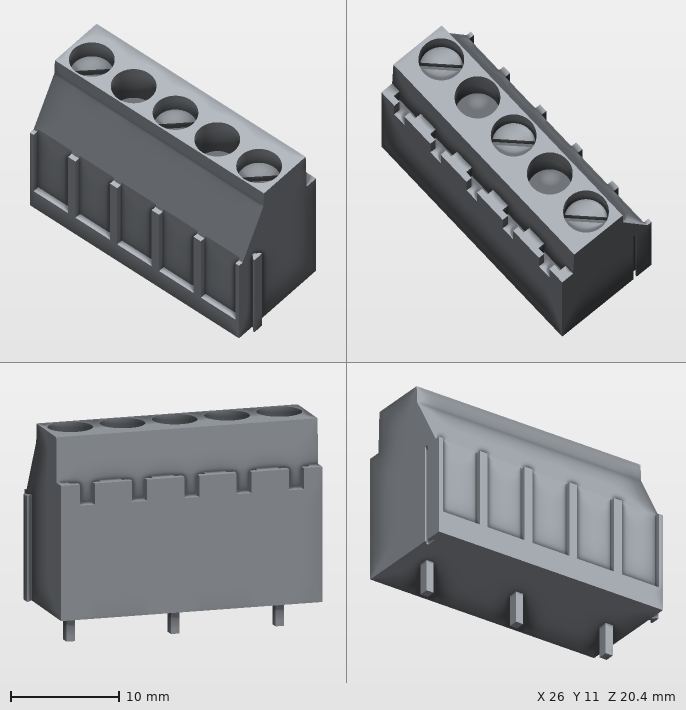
import cadquery as cq


MODULE_POLES = [3, 2]
POLE_COUNT = sum(MODULE_POLES)
OVERALL_LENGTH = 26.0
HOUSING_LENGTH = 25.4
PITCH = HOUSING_LENGTH / POLE_COUNT
FITTED_POLES = range(0, POLE_COUNT, 2)

DEPTH = 11.0
HEIGHT = 17.15
FRONT_LEDGE_Y = 0.52
FRONT_LEDGE_Z = 10.12
BROW_Y = 3.49
BROW_Z = 15.4
TOP_FRONT_Y = 3.56
TOP_BACK_Y = 9.52
BACK_LEDGE_Y = 9.68
BACK_LEDGE_Z = 12.85

POCKET_WIDTH = 4.2
POCKET_DEPTH = 0.65
POCKET_FLOOR_Z = 2.3

MARKER_WIDE = 3.0
MARKER_NARROW = 1.45
MARKER_SHOULDER_Y = 10.38
MARKER_DEPTH = 2.0

DOVETAIL_Y = 2.03
DOVETAIL_HEIGHT = 10.05
DOVETAIL_LENGTH = OVERALL_LENGTH - HOUSING_LENGTH
DOVETAIL_NECK_LENGTH = 0.15
DOVETAIL_FLARE_END = 0.4
DOVETAIL_NECK_WIDTH = 0.36
DOVETAIL_HEAD_WIDTH = 1.05

WELL_Y = 5.85
WELL_DIAMETER = 4.25
WELL_DEPTH = 4.0
SCREW_DIAMETER = 4.0
SCREW_RECESS = 1.8
SCREW_HEIGHT = WELL_DEPTH - SCREW_RECESS
SCREW_SLOT_WIDTH = 0.6
SCREW_SLOT_DEPTH = 0.73
SCREW_SLOT_ANGLE = 45

PIN_Y = 5.5
PIN_WIDTH = 0.8
PIN_DEPTH = 1.0
PIN_LENGTH = 3.23


def pole_center(pole):
    return (pole + 0.5) * PITCH


def housing_blank(start_x, length):
    """Stepped and sloped cross-section extruded along X."""
    outline = [
        (0, 0),
        (DEPTH, 0),
        (DEPTH, BACK_LEDGE_Z),
        (BACK_LEDGE_Y, BACK_LEDGE_Z),
        (TOP_BACK_Y, HEIGHT),
        (TOP_FRONT_Y, HEIGHT),
        (BROW_Y, BROW_Z),
        (FRONT_LEDGE_Y, FRONT_LEDGE_Z),
        (0, FRONT_LEDGE_Z),
    ]
    return cq.Workplane("YZ", origin=(start_x, 0, 0)).polyline(outline).close().extrude(length)


def dovetail(start_x):
    """Flared tongue that grows in +X from start_x, from the underside up."""
    half_neck = DOVETAIL_NECK_WIDTH / 2
    half_head = DOVETAIL_HEAD_WIDTH / 2
    outline = [
        (0, -half_neck),
        (DOVETAIL_NECK_LENGTH, -half_neck),
        (DOVETAIL_FLARE_END, -half_head),
        (DOVETAIL_LENGTH, -half_head),
        (DOVETAIL_LENGTH, half_head),
        (DOVETAIL_FLARE_END, half_head),
        (DOVETAIL_NECK_LENGTH, half_neck),
        (0, half_neck),
    ]
    base = cq.Workplane("XY", origin=(start_x, DOVETAIL_Y, 0))
    return base.polyline(outline).close().extrude(DOVETAIL_HEIGHT)


def front_pocket(pole):
    """Shallow rectangular recess in the front wall, open into the slope above."""
    corner = (pole_center(pole) - POCKET_WIDTH / 2, 0, POCKET_FLOOR_Z)
    return cq.Workplane(origin=corner).box(
        POCKET_WIDTH, POCKET_DEPTH, HEIGHT - POCKET_FLOOR_Z, centered=False
    )


def marker_slot(pole):
    """Blind T-shaped slot, wide at the back wall and narrow at the rear face."""
    half_wide = MARKER_WIDE / 2
    half_narrow = MARKER_NARROW / 2
    outline = [
        (-half_wide, BACK_LEDGE_Y),
        (half_wide, BACK_LEDGE_Y),
        (half_wide, MARKER_SHOULDER_Y),
        (half_narrow, MARKER_SHOULDER_Y),
        (half_narrow, DEPTH),
        (-half_narrow, DEPTH),
        (-half_narrow, MARKER_SHOULDER_Y),
        (-half_wide, MARKER_SHOULDER_Y),
    ]
    base = cq.Workplane("XY", origin=(pole_center(pole), 0, BACK_LEDGE_Z))
    return base.polyline(outline).close().extrude(-MARKER_DEPTH)


def screw_well(pole):
    """Blind round well in the top face."""
    base = cq.Workplane("XY", origin=(pole_center(pole), WELL_Y, HEIGHT))
    return base.circle(WELL_DIAMETER / 2).extrude(-WELL_DEPTH)


def housing(first_pole, pole_count):
    """One housing module with a dovetail groove at -X and a tongue at +X."""
    start_x = first_pole * PITCH
    length = pole_count * PITCH
    body = housing_blank(start_x, length)
    body = body.cut(dovetail(start_x))
    body = body.union(dovetail(start_x + length))
    for pole in range(first_pole, first_pole + pole_count):
        body = body.cut(front_pocket(pole))
        body = body.cut(marker_slot(pole))
        body = body.cut(screw_well(pole))
    return body


def screw(pole):
    """Round screw head standing on the well floor, slotted across its top."""
    base = cq.Workplane("XY", origin=(pole_center(pole), WELL_Y, HEIGHT - WELL_DEPTH))
    head = base.circle(SCREW_DIAMETER / 2).extrude(SCREW_HEIGHT)
    slot = (
        cq.Workplane("XY", origin=(pole_center(pole), WELL_Y, HEIGHT - SCREW_RECESS))
        .transformed(rotate=(0, 0, SCREW_SLOT_ANGLE))
        .rect(SCREW_DIAMETER, SCREW_SLOT_WIDTH)
        .extrude(-SCREW_SLOT_DEPTH)
    )
    return head.cut(slot)


def pin(pole):
    """Rectangular solder pin hanging from the housing underside."""
    base = cq.Workplane("XY", origin=(pole_center(pole), PIN_Y, 0))
    return base.rect(PIN_WIDTH, PIN_DEPTH).extrude(-PIN_LENGTH)


bodies = []
next_pole = 0
for module_poles in MODULE_POLES:
    bodies.append(housing(next_pole, module_poles).val())
    next_pole += module_poles
for fitted_pole in FITTED_POLES:
    bodies.append(screw(fitted_pole).val())
    bodies.append(pin(fitted_pole).val())

result = cq.Compound.makeCompound(bodies)